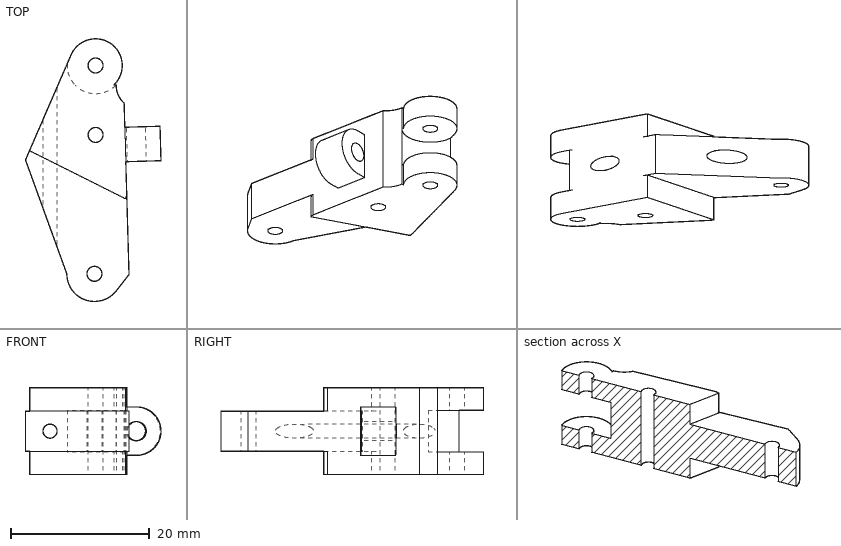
import cadquery as cq
import math


body_height = 12.5
tongue_height = 5.8
fork_gap = 6.0

pin_diameter = 2.12
fork_pin = (0.0, 10.0)
tongue_pin = (-0.16, -20.0)

fork_radius = 3.86
tongue_radius = 4.0
fork_clearance_radius = 4.08

left_lean = math.radians(23.45)
left_peak_y = -3.6
right_tilt = math.radians(1.64)
right_edge_x = 4.26
tongue_corner_y = -20.1

step_slope = math.radians(26.6)
step_left_y = -1.68
step_left_drop = 0.6
step_facet_lean = math.radians(20)
step_width = 15.42

hollow_top = (2.99, 7.2)
hollow_bottom_y = 4.58
hollow_radius = 3.4

lug_center = (5.87, -1.33)
lug_radius = 3.5
lug_width = 5.0
lug_hole_diameter = 2.75
lug_root_length = 4.0

cable_hole_diameter = 2.0
cable_hole_x = -6.56


def polar(center, radius, angle):
    return (center[0] + radius * math.cos(angle), center[1] + radius * math.sin(angle))


left_tangent_angle = math.pi - left_lean
left_tangent = polar(fork_pin, fork_radius, left_tangent_angle)


def left_side(y):
    """Point on the upper left side at height y."""
    return (left_tangent[0] - (left_tangent[1] - y) * math.tan(left_lean), y)


def right_side(y):
    """Point on the right side at height y."""
    return (right_edge_x - y * math.tan(right_tilt), y)


def prism(outline, height):
    return outline.extrude(height / 2, both=True)


def pin_cutter(center, radius, height):
    return prism(cq.Workplane("XY").center(*center).circle(radius), height)


def make_body():
    """Full-height body, from the fork end down to the sloping step."""
    step_start = left_side(step_left_y)
    facet_run = math.tan(step_facet_lean)
    step_left = (
        step_start[0] - step_left_drop * facet_run,
        step_start[1] - step_left_drop,
    )
    step_right = polar(step_left, step_width, -step_slope)

    gap = right_side(step_right[1])[0] - step_right[0]
    facet_rise = gap / (facet_run + math.tan(right_tilt))
    step_end = right_side(step_right[1] + facet_rise)

    hollow_bottom = right_side(hollow_bottom_y)
    fork_foot_drop = fork_pin[1] - hollow_top[1]
    fork_foot_angle = -math.asin(fork_foot_drop / fork_radius)
    fork_foot = polar(fork_pin, fork_radius, fork_foot_angle)
    fork_mid = polar(fork_pin, fork_radius, (fork_foot_angle + left_tangent_angle) / 2)
    outline = (
        cq.Workplane("XY")
        .moveTo(*left_tangent)
        .lineTo(*step_start)
        .lineTo(*step_left)
        .lineTo(*step_right)
        .lineTo(*step_end)
        .lineTo(*hollow_bottom)
        .radiusArc(hollow_top, hollow_radius)
        .lineTo(*fork_foot)
        .threePointArc(fork_mid, left_tangent)
        .close()
    )
    return prism(outline, body_height)


def make_tongue():
    """Thinner tongue, starting inside the body and ending round the lower pin."""
    corner = right_side(tongue_corner_y)
    corner_dx = corner[0] - tongue_pin[0]
    corner_dy = corner[1] - tongue_pin[1]
    corner_distance = math.hypot(corner_dx, corner_dy)
    tangent_angle = math.atan2(corner_dy, corner_dx) - math.acos(tongue_radius / corner_distance)
    outline = (
        cq.Workplane("XY")
        .moveTo(*left_side(0))
        .lineTo(*left_side(left_peak_y))
        .lineTo(*polar(tongue_pin, tongue_radius, math.pi))
        .threePointArc(
            polar(tongue_pin, tongue_radius, -math.pi / 2),
            polar(tongue_pin, tongue_radius, tangent_angle),
        )
        .lineTo(*corner)
        .lineTo(*right_side(0))
        .close()
    )
    return prism(outline, tongue_height)


def lug_plane():
    """Plane across the lug: local X points away from the body, local Y is Z."""
    outward = (math.cos(right_tilt), math.sin(right_tilt), 0)
    across = (math.sin(right_tilt), -math.cos(right_tilt), 0)
    return cq.Plane(origin=(*lug_center, 0), xDir=outward, normal=across)


def make_lug():
    outline = (
        cq.Workplane(lug_plane())
        .moveTo(-lug_root_length, -lug_radius)
        .lineTo(0, -lug_radius)
        .threePointArc((lug_radius, 0), (0, lug_radius))
        .lineTo(-lug_root_length, lug_radius)
        .close()
    )
    return prism(outline, lug_width)


def lug_hole_cutter():
    return prism(cq.Workplane(lug_plane()).circle(lug_hole_diameter / 2), lug_width)


def cable_hole_cutter():
    cable_hole = cq.Workplane("XZ").center(cable_hole_x, 0).circle(cable_hole_diameter / 2)
    return prism(cable_hole, 2 * abs(tongue_pin[1]))


result = make_body().union(make_tongue()).union(make_lug())
result = result.cut(pin_cutter(fork_pin, fork_clearance_radius, fork_gap))
for pin in (fork_pin, (0, 0), tongue_pin):
    result = result.cut(pin_cutter(pin, pin_diameter / 2, body_height))
result = result.cut(lug_hole_cutter()).cut(cable_hole_cutter())